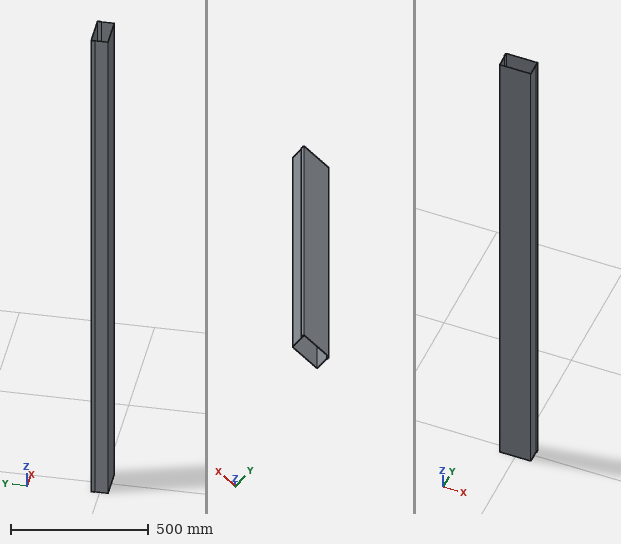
import cadquery as cq

length = 2000.0
width = 128.0
depth = 65.0

wall = 2.0

cover_depth = 15.0
cover_bend_radius = 5.0
lip_radius = 1.8

trunk_width = width - 2 * wall
trunk_depth = depth - wall
trunk_corner_radius = 2.0

back_y = depth / 2
front_y = -depth / 2


def bar(bar_width, y_min, y_max):
    """Full-length rectangular bar centred on X and Z, spanning y_min to y_max."""
    return (
        cq.Workplane("XY")
        .box(bar_width, y_max - y_min, length)
        .translate((0, (y_min + y_max) / 2, 0))
    )


def make_trunk():
    """Channel with its web at -Y and its flanges reaching the inside of the cover."""
    trunk_back_y = front_y + trunk_depth
    outside = bar(trunk_width, front_y, trunk_back_y)
    outside = outside.faces("<Y").edges("|Z").fillet(trunk_corner_radius)
    cavity = bar(trunk_width - 2 * wall, front_y + wall, trunk_back_y)
    return outside.cut(cavity)


def make_cover():
    """Channel with its web at +Y, rounded bends and rounded flange lips."""
    lip_y = back_y - cover_depth
    outside = bar(width, lip_y, back_y)
    outside = outside.faces(">Y").edges("|Z").fillet(cover_bend_radius)
    outside = outside.faces("<Y").edges("|Z").fillet(lip_radius)
    cavity = bar(trunk_width, lip_y, back_y - wall)
    cavity = cavity.faces(">Y").edges("|Z").fillet(cover_bend_radius - wall)
    return outside.cut(cavity)


cover = make_cover()

trunk = make_trunk().cut(cover)

result = cq.Compound.makeCompound([trunk.val(), cover.val()])